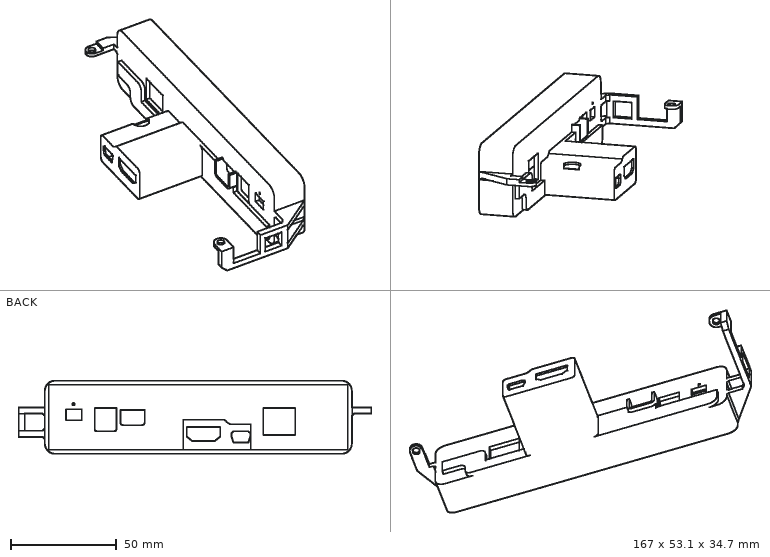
import cadquery as cq

TOTAL_LENGTH = 167.0
TOTAL_DEPTH = 53.1

HOUSING_LEFT = 9.2
HOUSING_RIGHT = 154.7
HOUSING_HEIGHT = 34.7
HOUSING_DEPTH = 16.7
HOUSING_RADIUS = 5.0
WALL = 2.0
BOX_FRONT_WALL = 1.0

PAD_LEFT = 13.2
PAD_RIGHT = 150.5
PAD_THICKNESS = 2.0
PAD_LEFT_TOP = 17.0
PAD_LEFT_BOTTOM = 9.0
PAD_STEP_X = 24.7
PAD_SHOULDER_X = 34.7
PAD_LOW_TOP = 7.5
PAD_RIGHT_TOP = 10.7
PAD_RADIUS = 3.0
PAD_CORNER_RADIUS = 4.5

BOX_LEFT = 55.1
BOX_RIGHT = 91.2
BOX_LOW_TOP = 16.0
BOX_TOP = 18.2
BOX_RADIUS = 2.0
STEP_START_X = 66.5
STEP_END_X = 70.0
STEP_RAMP_X = 67.1
STEP_RAMP_Z = 16.2
STEP_BREAK_X = 68.6
STEP_BREAK_Z = 17.2
DIMPLE_X = 56.6
DIMPLE_Y = -31.9
DIMPLE_RADIUS = 4.0
DIMPLE_DEPTH = 1.0

USB_CENTER = 61.8
USB_HALF_WIDTH = 4.3
USB_BASE_HALF_WIDTH = 3.5
USB_TOP = 10.7
USB_BOTTOM = 5.5
USB_CORNER = 0.8
USB_WAIST = 8.2
HDMI_CENTER = 79.5
HDMI_HALF_WIDTH = 7.8
HDMI_BASE_HALF_WIDTH = 5.3
HDMI_TOP = 12.7
HDMI_BOTTOM = 6.2
HDMI_WAIST = 8.2

COLLAR_LEFT = 106.2
COLLAR_RIGHT = 120.0
COLLAR_WALL = 1.2
COLLAR_BOTTOM = 12.5
COLLAR_REACH = 4.0
COLLAR_RADIUS = 2.3
COLLAR_WINDOW_TOP = 20.7

WINDOW_TOP = 21.7
LEFT_WINDOW_X = (36.0, 51.1)
LEFT_WINDOW_BOTTOM = 9.0
RIGHT_WINDOW_X = (120.8, 131.0)
RIGHT_WINDOW_BOTTOM = 10.9
RIGHT_WINDOW_RADIUS = 0.8
SMALL_WINDOW_X = (137.1, 144.5)
SMALL_WINDOW_Z = (16.0, 21.0)
PINHOLE_DIAMETER = 1.0
PINHOLE_X = 141.0
PINHOLE_Z = 23.5

ARM_TOP = 22.0
ARM_THICKNESS = 3.0
LUG_DROP = 1.3
LUG_TOP = ARM_TOP - LUG_DROP
LUG_BOTTOM = ARM_TOP - ARM_THICKNESS
RIGHT_LUG_RADIUS = 3.3
LUG_HOLE_DIAMETER = 3.5
ARM_ROOT_CHAMFER = 1.0
LEFT_ARM_WIDTH = 6.2
LEFT_LUG_Y = -27.0
LEFT_LUG_STEP_Y = -22.7
RIGHT_ARM_BOTTOM = 8.0
RIGHT_WALL_X = TOTAL_LENGTH - ARM_THICKNESS
RIGHT_INNER_CHAMFER = 1.5
FRAME_END_Y = -31.7
FRAME_WINDOW_Y = (-29.0, -20.0)
RIGHT_LUG_X = 160.7

FRONT_FACE_Y = -HOUSING_DEPTH
OVERLAP = 0.8


def xz_prism(sketch_builder, back_y, front_y):
    """Extrude an XZ outline from back_y forward (toward -Y) to front_y."""
    plane = cq.Workplane("XZ", origin=(0, back_y, 0))
    return sketch_builder(plane).extrude(back_y - front_y)


def xz_block(x_range, z_range, back_y, front_y):
    """Rectangular block between the given X, Z and Y limits."""
    return (
        cq.Workplane("XY")
        .box(x_range[1] - x_range[0], back_y - front_y, z_range[1] - z_range[0], centered=False)
        .translate((x_range[0], front_y, z_range[0]))
    )


def xy_cylinder(x, y, radius, bottom, top):
    """Vertical cylinder between two heights."""
    return cq.Workplane("XY", origin=(x, y, bottom)).circle(radius).extrude(top - bottom)


def mirrored_outline(plane, center_x, right_half):
    """Closed outline symmetric about center_x, from the points of its right half."""
    right = [(center_x + x, z) for x, z in right_half]
    left = [(center_x - x, z) for x, z in reversed(right_half)]
    return plane.polyline(right + left).close()


def housing():
    outer = xz_block((HOUSING_LEFT, HOUSING_RIGHT), (0, HOUSING_HEIGHT), 0, FRONT_FACE_Y)
    cavity = xz_block(
        (HOUSING_LEFT + WALL, HOUSING_RIGHT - WALL),
        (WALL, HOUSING_HEIGHT - WALL),
        0,
        FRONT_FACE_Y + WALL,
    )
    return outer.edges("|Y").fillet(HOUSING_RADIUS).cut(cavity)


def pad():
    def outline(plane):
        return (
            plane.moveTo(PAD_LEFT, PAD_LEFT_BOTTOM)
            .lineTo(PAD_LEFT, PAD_LEFT_TOP)
            .lineTo(PAD_SHOULDER_X - PAD_RADIUS, PAD_LEFT_TOP)
            .tangentArcPoint((PAD_RADIUS, -PAD_RADIUS))
            .lineTo(PAD_SHOULDER_X, PAD_LOW_TOP)
            .lineTo(BOX_LEFT + BOX_RADIUS, PAD_LOW_TOP)
            .lineTo(BOX_RIGHT - BOX_RADIUS, BOX_TOP)
            .lineTo(COLLAR_LEFT, BOX_TOP)
            .lineTo(COLLAR_LEFT, COLLAR_BOTTOM + COLLAR_WALL)
            .lineTo(COLLAR_RIGHT, COLLAR_BOTTOM + COLLAR_WALL)
            .lineTo(COLLAR_RIGHT, PAD_RIGHT_TOP)
            .lineTo(PAD_RIGHT, PAD_RIGHT_TOP)
            .lineTo(PAD_RIGHT, PAD_CORNER_RADIUS)
            .tangentArcPoint((-PAD_CORNER_RADIUS, -PAD_CORNER_RADIUS))
            .lineTo(PAD_STEP_X + PAD_RADIUS, 0)
            .tangentArcPoint((-PAD_RADIUS, PAD_RADIUS))
            .lineTo(PAD_STEP_X, PAD_LEFT_BOTTOM - PAD_RADIUS)
            .tangentArcPoint((-PAD_RADIUS, PAD_RADIUS))
            .close()
        )

    return xz_prism(outline, FRONT_FACE_Y + OVERLAP, FRONT_FACE_Y - PAD_THICKNESS)


def stepped_prism(inset, back_y, front_y):
    """Box section with a ramped step in the top; sides and top move inward by inset."""
    low_top = BOX_LOW_TOP - inset

    def outline(plane):
        return (
            plane.moveTo(BOX_LEFT + inset, inset)
            .lineTo(BOX_LEFT + inset, low_top)
            .lineTo(STEP_START_X, low_top)
            .tangentArcPoint((STEP_RAMP_X, STEP_RAMP_Z - inset), relative=False)
            .lineTo(STEP_BREAK_X, STEP_BREAK_Z - inset)
            .radiusArc((STEP_END_X, BOX_TOP - inset), BOX_RADIUS)
            .lineTo(BOX_RIGHT - inset, BOX_TOP - inset)
            .lineTo(BOX_RIGHT - inset, inset)
            .close()
        )

    return xz_prism(outline, back_y, front_y)


def connector_box():
    box = stepped_prism(0, FRONT_FACE_Y + OVERLAP, -TOTAL_DEPTH)
    box = box.edges("|Y and (<X or >X)").fillet(BOX_RADIUS)

    core = stepped_prism(DIMPLE_DEPTH, FRONT_FACE_Y, -TOTAL_DEPTH)
    core = core.edges("|Y and (<X or >X)").fillet(BOX_RADIUS - DIMPLE_DEPTH)
    dimple_bottom = BOX_LOW_TOP - BOX_RADIUS
    dimple = xy_cylinder(DIMPLE_X, DIMPLE_Y, DIMPLE_RADIUS, dimple_bottom, BOX_TOP).cut(core)
    return box.cut(dimple)


def box_cavity():
    return stepped_prism(WALL, FRONT_FACE_Y + WALL, -TOTAL_DEPTH + BOX_FRONT_WALL)


def ports():
    def usb(plane):
        right_half = [
            (USB_HALF_WIDTH - USB_CORNER, USB_TOP),
            (USB_HALF_WIDTH, USB_TOP - USB_CORNER),
            (USB_HALF_WIDTH, USB_WAIST),
            (USB_BASE_HALF_WIDTH, USB_BOTTOM),
        ]
        return mirrored_outline(plane, USB_CENTER, right_half)

    def hdmi(plane):
        right_half = [
            (HDMI_HALF_WIDTH, HDMI_TOP),
            (HDMI_HALF_WIDTH, HDMI_WAIST),
            (HDMI_BASE_HALF_WIDTH, HDMI_BOTTOM),
        ]
        return mirrored_outline(plane, HDMI_CENTER, right_half)

    back_y = -TOTAL_DEPTH + BOX_FRONT_WALL + OVERLAP
    front_y = -TOTAL_DEPTH - OVERLAP
    return xz_prism(usb, back_y, front_y).union(xz_prism(hdmi, back_y, front_y))


def collar():
    body = xz_block(
        (COLLAR_LEFT, COLLAR_RIGHT),
        (COLLAR_BOTTOM, WINDOW_TOP),
        FRONT_FACE_Y + OVERLAP,
        FRONT_FACE_Y - COLLAR_REACH,
    )
    return body.edges("|Y and <Z").fillet(COLLAR_RADIUS)


def collar_opening():
    x_range = (COLLAR_LEFT + COLLAR_WALL, COLLAR_RIGHT - COLLAR_WALL)
    bottom = COLLAR_BOTTOM + COLLAR_WALL
    front_y = FRONT_FACE_Y - COLLAR_REACH - OVERLAP
    through = xz_block(x_range, (bottom, COLLAR_WINDOW_TOP), FRONT_FACE_Y + WALL + OVERLAP, front_y)
    through = through.edges("|Y and <Z").fillet(COLLAR_RADIUS - COLLAR_WALL)
    open_top = xz_block(x_range, (COLLAR_WINDOW_TOP - OVERLAP, WINDOW_TOP + OVERLAP), FRONT_FACE_Y, front_y)
    return through.union(open_top)


def windows():
    back_y = FRONT_FACE_Y + WALL + OVERLAP
    front_y = FRONT_FACE_Y - PAD_THICKNESS - OVERLAP
    left = xz_block(LEFT_WINDOW_X, (LEFT_WINDOW_BOTTOM, WINDOW_TOP), back_y, front_y)
    right = xz_block(RIGHT_WINDOW_X, (RIGHT_WINDOW_BOTTOM, WINDOW_TOP), back_y, front_y)
    right = right.edges("|Y and <Z").fillet(RIGHT_WINDOW_RADIUS)
    small = xz_block(SMALL_WINDOW_X, SMALL_WINDOW_Z, back_y, front_y)
    pinhole = xz_prism(
        lambda plane: plane.center(PINHOLE_X, PINHOLE_Z).circle(PINHOLE_DIAMETER / 2), back_y, front_y
    )
    return left.union(right).union(small).union(pinhole)


def root_chamfer(wall_x, direction, z, up):
    """Triangular bead along the housing side wall where an arm plate meets it."""
    leg = ARM_ROOT_CHAMFER

    def outline(plane):
        corners = [
            (wall_x, z),
            (wall_x + direction * leg, z),
            (wall_x, z + up * leg),
        ]
        return plane.polyline(corners).close()

    return xz_prism(outline, 0, FRONT_FACE_Y)


def left_arm():
    lug_radius = LEFT_ARM_WIDTH / 2
    plan = [
        (HOUSING_LEFT + OVERLAP, 0),
        (HOUSING_LEFT, 0),
        (0, FRONT_FACE_Y),
        (0, LEFT_LUG_Y - lug_radius),
        (LEFT_ARM_WIDTH, LEFT_LUG_Y - lug_radius),
        (LEFT_ARM_WIDTH, FRONT_FACE_Y),
        (HOUSING_LEFT + OVERLAP, FRONT_FACE_Y),
    ]
    blank = cq.Workplane("XY").polyline(plan).close().extrude(ARM_TOP)
    section = xz_block((0, HOUSING_LEFT + OVERLAP), (LUG_BOTTOM, ARM_TOP), 0, LEFT_LUG_Y)
    section = section.union(xy_cylinder(lug_radius, LEFT_LUG_Y, lug_radius, LUG_BOTTOM, ARM_TOP))
    section = section.union(root_chamfer(HOUSING_LEFT, -1, LUG_BOTTOM, -1))
    lowered = xz_block(
        (0, LEFT_ARM_WIDTH), (LUG_TOP, ARM_TOP), LEFT_LUG_STEP_Y, LEFT_LUG_Y - lug_radius
    )
    hole = xy_cylinder(lug_radius, LEFT_LUG_Y, LUG_HOLE_DIAMETER / 2, 0, ARM_TOP)
    return blank.intersect(section).cut(lowered).cut(hole)


def right_lug(back_y):
    lug_y = -TOTAL_DEPTH + RIGHT_LUG_RADIUS
    lug = xz_block((RIGHT_LUG_X, TOTAL_LENGTH), (LUG_BOTTOM, LUG_TOP), back_y, -TOTAL_DEPTH)
    lug = lug.union(xy_cylinder(RIGHT_LUG_X, lug_y, RIGHT_LUG_RADIUS, LUG_BOTTOM, LUG_TOP))
    return lug.cut(xy_cylinder(RIGHT_LUG_X, lug_y, LUG_HOLE_DIAMETER / 2, LUG_BOTTOM, LUG_TOP))


def right_arm():
    chamfer = RIGHT_INNER_CHAMFER
    plan = [
        (HOUSING_RIGHT - OVERLAP, 0),
        (HOUSING_RIGHT, 0),
        (TOTAL_LENGTH, FRONT_FACE_Y),
        (TOTAL_LENGTH, -TOTAL_DEPTH),
        (RIGHT_WALL_X, -TOTAL_DEPTH),
        (RIGHT_WALL_X, FRONT_FACE_Y - chamfer),
        (RIGHT_WALL_X - chamfer, FRONT_FACE_Y),
        (HOUSING_RIGHT - OVERLAP, FRONT_FACE_Y),
    ]
    blank = cq.Workplane("XY").polyline(plan).close().extrude(ARM_TOP)
    arm = blank.intersect(xz_block((0, TOTAL_LENGTH), (RIGHT_ARM_BOTTOM, ARM_TOP), 0, -TOTAL_DEPTH))
    lower_bead = blank.intersect(root_chamfer(HOUSING_RIGHT, 1, RIGHT_ARM_BOTTOM, -1))

    inner_bottom = RIGHT_ARM_BOTTOM + ARM_THICKNESS
    inner_z = (inner_bottom, LUG_BOTTOM)
    gap = xz_block((HOUSING_RIGHT, RIGHT_WALL_X), inner_z, 0, FRONT_FACE_Y - chamfer)
    gap = gap.union(xz_block((RIGHT_WALL_X - OVERLAP, TOTAL_LENGTH), inner_z, 0, FRONT_FACE_Y))
    gap = gap.cut(root_chamfer(HOUSING_RIGHT, 1, LUG_BOTTOM, -1))
    gap = gap.cut(root_chamfer(HOUSING_RIGHT, 1, inner_bottom, 1))
    window = xz_block((RIGHT_WALL_X - OVERLAP, TOTAL_LENGTH), inner_z, FRAME_WINDOW_Y[1], FRAME_WINDOW_Y[0])

    post_back_y = -TOTAL_DEPTH + 2 * RIGHT_LUG_RADIUS
    wall_x = (RIGHT_WALL_X, TOTAL_LENGTH)
    above_bar = xz_block(wall_x, (inner_bottom, ARM_TOP), FRAME_END_Y, post_back_y)
    above_post = xz_block(wall_x, (LUG_TOP, ARM_TOP), post_back_y, -TOTAL_DEPTH)
    tip_chamfer = (
        cq.Workplane("YZ", origin=(RIGHT_WALL_X, 0, 0))
        .moveTo(-TOTAL_DEPTH, RIGHT_ARM_BOTTOM)
        .lineTo(-TOTAL_DEPTH + ARM_THICKNESS, RIGHT_ARM_BOTTOM)
        .lineTo(-TOTAL_DEPTH, inner_bottom)
        .close()
        .extrude(ARM_THICKNESS)
    )
    for removed in (gap, window, above_bar, above_post, tip_chamfer):
        arm = arm.cut(removed)

    return arm.union(lower_bead).union(right_lug(post_back_y))


def arms():
    """Both arms, trimmed so that they stop at the housing's side walls."""
    inside = xz_block(
        (HOUSING_LEFT + OVERLAP, HOUSING_RIGHT - OVERLAP), (0, HOUSING_HEIGHT), 0, FRONT_FACE_Y
    )
    return left_arm().union(right_arm()).cut(inside)


result = housing().union(pad()).union(connector_box()).union(collar()).union(arms())
for opening in (box_cavity(), ports(), collar_opening(), windows()):
    result = result.cut(opening)